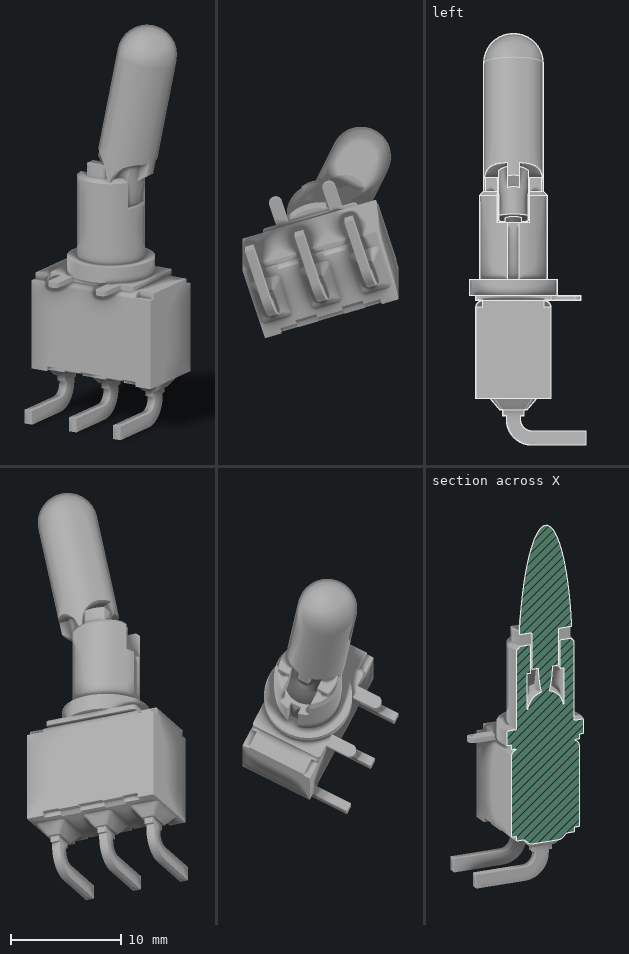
import cadquery as cq
import math


body_length = 12.7
body_width = 6.86
body_height = 8.92
end_block_length = 1.59
end_ledge_depth = 0.64
end_ledge_drop = 0.57
cover_edge_radius = 0.66
cover_bottom_gap = 0.35
cover_length = body_length - 2 * end_block_length

base_inset = 0.5
base_thickness = 0.45
base_foot_half_width = 1.2
base_outer_foot_inner_x = 3.2
base_gap_chamfer = 0.35

plate_length = 8.96
plate_thickness = 0.45
plate_corner_radius = 0.3
tab_spacing = 5.08
tab_width = 1.17
tab_end_y = -6.12
tab_corner_radius = 0.55
plate_top = body_height + plate_thickness

flange_diameter = 8.0
flange_height = 1.46
flange_top = plate_top + flange_height
bushing_diameter = 6.16
bushing_top = 18.82
bushing_chamfer = 0.35
slot_width = 2.9
slot_floor = 16.02
keyway_width = 1.04
keyway_floor_x = -2.4

ear_diameter = 5.44
ear_half_length = 1.0
ear_top = 20.07

lever_tilt = 12.0
pivot_height = 12.28
ball_diameter = 4.2
socket_floor = pivot_height + 0.3
neck_diameter = 1.5
stem_diameter = 3.7
stem_width = 2.7
stem_start = 4.2
head_diameter = 5.44
head_start = 6.5
head_bevel = 1.12
dome_center = 18.57
web_width = 1.1
scallop_radius = 2.5
scallop_center_along = 6.3
scallop_center_offset = 2.68

terminal_pitch = 4.72
terminal_width = 0.8
terminal_thickness = 1.3
terminal_inner_bend = 1.05
terminal_tip_y = -6.6
terminal_bottom = -4.22
terminal_shoulder_width = 1.95
terminal_shoulder_bottom = -1.55
seal_height = 1.0
seal_top_size = (2.85, 4.2)
seal_bottom_size = (1.28, 2.5)
seal_top_corner = 0.4
seal_bottom_corner = 0.2


def block(x_min, x_max, y_min, y_max, z_min, z_max):
    """Axis-aligned box given by its limits."""
    size = (x_max - x_min, y_max - y_min, z_max - z_min)
    return cq.Workplane("XY").box(*size, centered=False).translate((x_min, y_min, z_min))


def cylinder(diameter, z_min, z_max):
    """Upright cylinder on the Z axis."""
    return cq.Workplane("XY").workplane(offset=z_min).circle(diameter / 2).extrude(z_max - z_min)


def make_housing():
    """Two end blocks with ledges and a cover between them, notched above the base feet."""
    half_length = body_length / 2
    half_width = body_width / 2
    half_cover = cover_length / 2
    top_half_width = half_width - end_ledge_depth
    ledge_height = body_height - end_ledge_drop
    cover = block(-half_cover, half_cover, -half_width, half_width, cover_bottom_gap, body_height)
    housing = cover.edges("|X and >Z").fillet(cover_edge_radius)
    foot_limits = (
        (-half_cover, -base_outer_foot_inner_x),
        (-base_foot_half_width, base_foot_half_width),
        (base_outer_foot_inner_x, half_cover),
    )
    for x_min, x_max in foot_limits:
        notch = block(x_min, x_max, -half_width, half_width, cover_bottom_gap, base_thickness)
        housing = housing.cut(notch)
    for x_min, x_max in ((-half_length, -half_cover), (half_cover, half_length)):
        lower = block(x_min, x_max, -half_width, half_width, 0, ledge_height)
        upper = block(x_min, x_max, -top_half_width, top_half_width, ledge_height, body_height)
        housing = housing.union(lower).union(upper)
    return housing


def make_base():
    """Base plate whose edges are bevelled between the three pairs of feet."""
    half_cover = cover_length / 2
    half_width = body_width / 2 - base_inset
    base = block(-half_cover, half_cover, -half_width, half_width, 0, base_thickness)
    gap_length = base_outer_foot_inner_x - base_foot_half_width
    for side in (-1, 1):
        bevel = (
            cq.Workplane("YZ")
            .moveTo(side * half_width, 0)
            .lineTo(side * half_width, base_gap_chamfer)
            .lineTo(side * (half_width - base_gap_chamfer), 0)
            .close()
            .extrude(gap_length)
        )
        base = base.cut(bevel.translate((base_foot_half_width, 0, 0)))
        base = base.cut(bevel.translate((-base_outer_foot_inner_x, 0, 0)))
    return base


def make_bracket():
    """Flat plate on the housing with two rounded tabs toward -Y."""
    plate = cq.Workplane("XY").rect(plate_length, body_width).extrude(plate_thickness)
    plate = plate.edges("|Z").fillet(plate_corner_radius)
    for tab_x in (-tab_spacing / 2, tab_spacing / 2):
        tab = block(tab_x - tab_width / 2, tab_x + tab_width / 2, tab_end_y, 0, 0, plate_thickness)
        plate = plate.union(tab.edges("|Z and <Y").fillet(tab_corner_radius))
    return plate.translate((0, 0, body_height))


def make_bushing():
    """Flanged bushing with a cross slot, a keyway, two ears and a ball socket."""
    bushing = cylinder(bushing_diameter, plate_top, bushing_top)
    bushing = bushing.faces(">Z").chamfer(bushing_chamfer)
    ears = cylinder(ear_diameter, slot_floor, ear_top)
    ear_limits = block(
        -ear_half_length, ear_half_length, -ear_diameter, ear_diameter, slot_floor, ear_top
    )
    bushing = bushing.union(ears.intersect(ear_limits))
    slot = block(
        -bushing_diameter, bushing_diameter, -slot_width / 2, slot_width / 2, slot_floor, ear_top
    )
    keyway = block(
        -bushing_diameter, keyway_floor_x, -keyway_width / 2, keyway_width / 2, flange_top, slot_floor
    )
    socket = cylinder(ball_diameter, socket_floor, slot_floor)
    bushing = bushing.cut(slot).cut(keyway).cut(socket)
    return bushing.union(cylinder(flange_diameter, plate_top, flange_top))


def make_lever_head():
    """Domed grip with a bevelled lower end, scalloped on both sides of two thin webs."""
    radius = head_diameter / 2
    bevel_half_width = radius - head_bevel
    head = cylinder(head_diameter, head_start, dome_center)
    outline = (
        cq.Workplane("XZ")
        .moveTo(-bevel_half_width, head_start)
        .lineTo(bevel_half_width, head_start)
        .lineTo(radius, head_start + head_bevel)
        .lineTo(radius, dome_center)
        .lineTo(-radius, dome_center)
        .lineTo(-radius, head_start + head_bevel)
        .close()
        .extrude(radius, both=True)
    )
    head = head.intersect(outline)
    web = block(-radius, radius, -web_width / 2, web_width / 2, head_start, dome_center)
    for side in (-1, 1):
        scallop = (
            cq.Workplane("XZ")
            .center(side * scallop_center_offset, scallop_center_along)
            .circle(scallop_radius)
            .extrude(radius, both=True)
        )
        head = head.cut(scallop.cut(web))
    dome = cq.Workplane("XY").sphere(radius).translate((0, 0, dome_center))
    return head.union(dome)


def make_lever():
    """Ball, neck, flattened stem and head, tilted about the ball centre."""
    ball = cq.Workplane("XY").sphere(ball_diameter / 2)
    neck = cylinder(neck_diameter, 0, stem_start)
    stem_end = head_start + head_diameter / 2
    stem = cylinder(stem_diameter, stem_start, stem_end)
    stem_flats = block(
        -stem_diameter, stem_diameter, -stem_width / 2, stem_width / 2, stem_start, stem_end
    )
    lever = make_lever_head().union(stem.intersect(stem_flats)).union(neck).union(ball)
    return lever.rotate((0, 0, 0), (0, 1, 0), lever_tilt).translate((0, 0, pivot_height))


def make_seal():
    """Tapered sealing pad around a terminal, under the housing."""
    top = cq.Sketch().rect(*seal_top_size).vertices().fillet(seal_top_corner)
    bottom = cq.Sketch().rect(*seal_bottom_size).vertices().fillet(seal_bottom_corner)
    return (
        cq.Workplane("XY")
        .placeSketch(top, bottom.moved(cq.Location(cq.Vector(0, 0, -seal_height))))
        .loft()
    )


def make_terminal():
    """Terminal that leaves the seal downward and bends toward -Y."""
    half = terminal_thickness / 2
    outer_bend = terminal_inner_bend + terminal_thickness
    bend_y = -half - terminal_inner_bend
    bend_z = terminal_bottom + outer_bend
    leg_top = terminal_bottom + terminal_thickness
    diagonal = math.sqrt(0.5)
    strip = (
        cq.Workplane("YZ")
        .moveTo(half, 0)
        .lineTo(half, bend_z)
        .threePointArc(
            (bend_y + outer_bend * diagonal, bend_z - outer_bend * diagonal), (bend_y, terminal_bottom)
        )
        .lineTo(terminal_tip_y, terminal_bottom)
        .lineTo(terminal_tip_y, leg_top)
        .lineTo(bend_y, leg_top)
        .threePointArc(
            (bend_y + terminal_inner_bend * diagonal, bend_z - terminal_inner_bend * diagonal),
            (-half, bend_z),
        )
        .lineTo(-half, 0)
        .close()
        .extrude(terminal_width / 2, both=True)
    )
    shoulder = block(
        -terminal_width / 2, terminal_width / 2,
        -terminal_shoulder_width / 2, terminal_shoulder_width / 2,
        terminal_shoulder_bottom, 0,
    )
    return strip.union(shoulder).union(make_seal())


result = make_housing().union(make_base()).union(make_bracket())
result = result.union(make_bushing()).union(make_lever())
terminal = make_terminal()
for position in (-1, 0, 1):
    result = result.union(terminal.translate((position * terminal_pitch, 0, 0)))